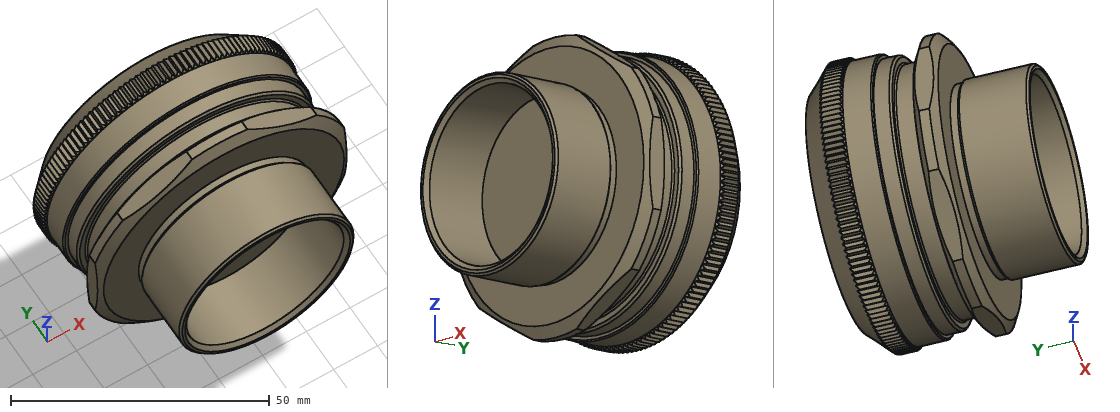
import cadquery as cq
import math


tube_radius = 40.0 / 2
tube_chamfer = 0.5
tube_back = 14.0
tube_step_length = 0.5
tube_neck_radius = 39.0 / 2
bore_radius = 36.0 / 2
bore_chamfer = 0.9
bore_depth = 14.6

flange_front = 16.0
flange_back = 21.1
flange_radius = 59.85 / 2
flange_face_radius = 55.0 / 2
flange_chamfer_length = 1.5
hex_across_flats = 57.0
hex_half_angle = 30.0

neck_radius = 51.0 / 2
neck_chamfer = 0.35
collar_radius = 55.0 / 2
collar_front = 25.45
collar_chamfer = 0.5

nut_radius = 57.0 / 2
nut_front = 29.05
nut_front_chamfer = 0.3
nut_back = 43.8
nut_back_radius = 24.35

knurl_radius = 58.3 / 2
knurl_front = 35.0
knurl_tooth_count = 140
knurl_phase = 0.9


def revolve_y(points):
    """Revolve a closed (radius, y) outline about the Y axis."""
    return cq.Workplane("XY").polyline(points).close().revolve(360, (0, 0, 0), (0, 1, 0))


def make_tube():
    return revolve_y([
        (0, bore_depth),
        (bore_radius, bore_depth),
        (bore_radius, bore_chamfer),
        (bore_radius + bore_chamfer, 0),
        (tube_radius - tube_chamfer, 0),
        (tube_radius, tube_chamfer),
        (tube_radius, tube_back),
        (tube_neck_radius, tube_back + tube_step_length),
        (tube_neck_radius, flange_back),
        (0, flange_back),
    ])


def make_flange():
    disc = revolve_y([
        (tube_neck_radius, flange_front),
        (flange_face_radius, flange_front),
        (flange_radius, flange_front + flange_chamfer_length),
        (flange_radius, flange_back - flange_chamfer_length),
        (flange_face_radius, flange_back),
        (tube_neck_radius, flange_back),
    ])
    hexagon = (
        cq.Workplane("XZ")
        .polygon(6, hex_across_flats / math.cos(math.radians(hex_half_angle)))
        .extrude(-nut_back)
        .rotate((0, 0, 0), (0, 1, 0), hex_half_angle)
    )
    return disc.intersect(hexagon)


def make_body():
    return revolve_y([
        (0, flange_back),
        (neck_radius + neck_chamfer, flange_back),
        (neck_radius, flange_back + neck_chamfer),
        (neck_radius, collar_front - neck_chamfer),
        (neck_radius + neck_chamfer, collar_front),
        (collar_radius - collar_chamfer, collar_front),
        (collar_radius, collar_front + collar_chamfer),
        (collar_radius, nut_front),
        (nut_radius - nut_front_chamfer, nut_front),
        (nut_radius, nut_front + nut_front_chamfer),
        (nut_radius, nut_back - (nut_radius - nut_back_radius)),
        (nut_back_radius, nut_back),
        (0, nut_back),
    ])


def make_knurl():
    """Toothed ring, its tooth tips bevelled at 45 degrees at both ends."""
    pitch = 2 * math.pi / knurl_tooth_count
    first_tip = math.pi - math.radians(knurl_phase)
    outline = []
    for tooth in range(knurl_tooth_count):
        tip = first_tip - tooth * pitch
        valley = tip - pitch / 2
        outline.append((knurl_radius * math.cos(tip), knurl_radius * math.sin(tip)))
        outline.append((nut_radius * math.cos(valley), nut_radius * math.sin(valley)))
    teeth = cq.Workplane("XZ").polyline(outline).close().extrude(-nut_back)
    tooth_height = knurl_radius - nut_radius
    tip_back = nut_back - (knurl_radius - nut_back_radius)
    band = revolve_y([
        (nut_back_radius, knurl_front),
        (nut_radius, knurl_front),
        (knurl_radius, knurl_front + tooth_height),
        (knurl_radius, tip_back),
        (nut_back_radius, nut_back),
    ])
    return teeth.intersect(band)


result = make_tube().union(make_flange()).union(make_body()).union(make_knurl())